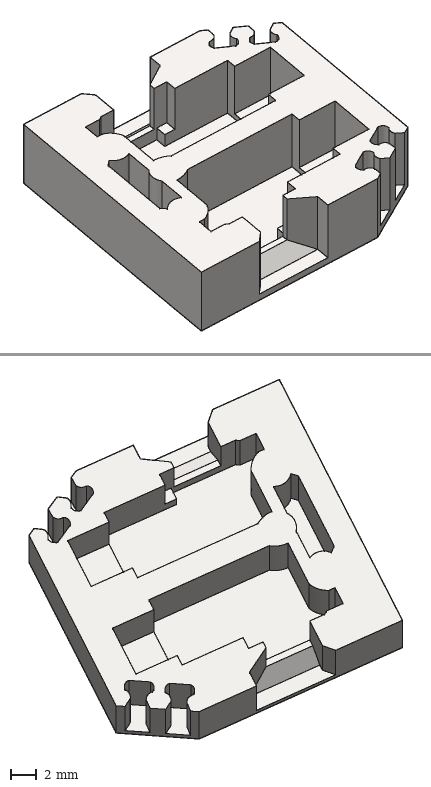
import cadquery as cq
import math

WIDTH = 22.0
LENGTH = 23.0
HEIGHT = 6.1
HALF_WIDTH = WIDTH / 2
CORNER_START_Y = 17.43
CORNER_ANGLE = math.radians(60)
CORNER_EDGE = (LENGTH - CORNER_START_Y) / math.sin(CORNER_ANGLE)
CORNER_TOP_X = HALF_WIDTH - CORNER_EDGE * math.cos(CORNER_ANGLE)

FLOOR_Z = 0.65
REAR_FLOOR_Z = 1.17
SILL_Z = 1.86
GROOVE_FLOOR_Z = 0.71

POCKET_INNER_X = 1.01
POCKET_OUTER_X = 6.97
POCKET_WIDE_X = 7.95
POCKET_BACK_Y = 16.95
POCKET_WIDE_Y = 11.73
POCKET_FRONT_Y = 5.22
RIB_FLARE_X = 1.45
RIB_FLARE_Y = 6.62
RIB_FLARE_RADIUS = 2.28
LEG_INNER_X = 6.32
LEG_OUTER_X = 7.77
LEG_FRONT_Y = 3.55
LEG_OUTER_BEND_Y = 4.95
LEG_ARC_START_X = 5.18
LEG_ARC_END_Y = 4.05
LEG_ARC_RADIUS = 4.2 / 2
REAR_POCKET_X = (1.9, 6.1)
REAR_POCKET_Y = 20.5
CORNER_BLOCK = 1.0

WINDOW_FRONT_Y = 6.49
WINDOW_BACK_Y = 12.51
WINDOW_INNER_Y = 10.49
WINDOW_SLOPE_X = (8.49, 9.75)
WINDOW_CHAMFER_X = 10.21
WINDOW_CHAMFER_Y = 5.73

FOOT_HEIGHT = 1.01
FOOT_FRONT_Y = 6.72
FOOT_INNER_Y = 10.42
FOOT_BACK_Y = 11.94
FOOT_TIP_X = 8.62
FOOT_ROOT_X = 9.65

SLOT_FRONT_Y = 2.12
SLOT_TIP_Y = 2.55
SLOT_WAIST_Y = 3.73
SLOT_BACK_Y = 4.23
SLOT_FRONT_X = 3.2
SLOT_TIP_X = 3.6
SLOT_WAIST_X = 3.1
SLOT_BACK_X = 3.27
SLOT_BULGE_X = 0.8
SLOT_BULGE = 0.28

GROOVE_POSITIONS = (1.65, 4.8)
GROOVE_MOUTH = 0.97
GROOVE_NECK = (0.62, 0.67)
GROOVE_FLARE = (0.71, 1.08)
GROOVE_LOBE_START = (1.05, 1.35)
GROOVE_LOBE = (1.13, 1.82)
GROOVE_LOBE_END = (0.83, 2.16)


def plan(z=0.0):
    return cq.Workplane("XY").workplane(offset=z)


def both_sides(solid):
    """Join a solid with its mirror image across the YZ plane."""
    return solid.union(solid.mirror("YZ"))


def mirrored(point):
    return (-point[0], point[1])


def make_body():
    return (
        plan()
        .polyline([
            (-HALF_WIDTH, 0),
            (HALF_WIDTH, 0),
            (HALF_WIDTH, CORNER_START_Y),
            (CORNER_TOP_X, LENGTH),
            (-CORNER_TOP_X, LENGTH),
            (-HALF_WIDTH, CORNER_START_Y),
        ])
        .close()
        .extrude(HEIGHT)
    )


def make_pocket():
    main = (
        plan(FLOOR_Z)
        .moveTo(POCKET_INNER_X, POCKET_BACK_Y)
        .lineTo(POCKET_OUTER_X, POCKET_BACK_Y)
        .lineTo(POCKET_OUTER_X, POCKET_WIDE_Y)
        .lineTo(POCKET_WIDE_X, POCKET_WIDE_Y)
        .lineTo(POCKET_WIDE_X, POCKET_FRONT_Y)
        .lineTo(LEG_OUTER_X, LEG_OUTER_BEND_Y)
        .lineTo(LEG_OUTER_X, LEG_FRONT_Y)
        .lineTo(LEG_INNER_X, LEG_FRONT_Y)
        .lineTo(LEG_INNER_X, LEG_ARC_END_Y)
        .radiusArc((LEG_ARC_START_X, POCKET_FRONT_Y), -LEG_ARC_RADIUS)
        .lineTo(RIB_FLARE_X, POCKET_FRONT_Y)
        .radiusArc((POCKET_INNER_X, RIB_FLARE_Y), -RIB_FLARE_RADIUS)
        .close()
        .extrude(HEIGHT - FLOOR_Z)
    )
    block = cq.Workplane("XY").box(CORNER_BLOCK, CORNER_BLOCK, SILL_Z - FLOOR_Z, centered=False)
    block = block.translate((POCKET_OUTER_X, POCKET_WIDE_Y - CORNER_BLOCK, FLOOR_Z))
    rear_x, rear_end_x = REAR_POCKET_X
    rear = cq.Workplane("XY").box(
        rear_end_x - rear_x, REAR_POCKET_Y - POCKET_BACK_Y, HEIGHT - REAR_FLOOR_Z, centered=False
    )
    return main.cut(block).union(rear.translate((rear_x, POCKET_BACK_Y, REAR_FLOOR_Z)))


def make_window():
    """Side opening: a plan outline crossed with a sloping sill profile."""
    slope_top_x, slope_foot_x = WINDOW_SLOPE_X
    outline = (
        plan()
        .polyline([
            (POCKET_WIDE_X, WINDOW_FRONT_Y),
            (WINDOW_CHAMFER_X, WINDOW_FRONT_Y),
            (HALF_WIDTH, WINDOW_CHAMFER_Y),
            (HALF_WIDTH, WINDOW_BACK_Y),
            (slope_foot_x, WINDOW_BACK_Y),
            (slope_top_x, WINDOW_INNER_Y),
            (POCKET_WIDE_X, WINDOW_INNER_Y),
        ])
        .close()
        .extrude(HEIGHT)
    )
    sill = (
        cq.Workplane("XZ")
        .polyline([
            (POCKET_WIDE_X, SILL_Z),
            (slope_top_x, SILL_Z),
            (slope_foot_x, FLOOR_Z),
            (HALF_WIDTH, FLOOR_Z),
            (HALF_WIDTH, HEIGHT),
            (POCKET_WIDE_X, HEIGHT),
        ])
        .close()
        .extrude(-LENGTH)
    )
    return outline.intersect(sill)


def make_foot():
    """Hook below the window, sloped along its outer side and its rear end."""
    outline = (
        plan(-FOOT_HEIGHT)
        .polyline([
            (POCKET_WIDE_X, FOOT_FRONT_Y),
            (FOOT_ROOT_X, FOOT_FRONT_Y),
            (FOOT_ROOT_X, FOOT_BACK_Y),
            (FOOT_TIP_X, FOOT_INNER_Y),
            (POCKET_WIDE_X, FOOT_INNER_Y),
        ])
        .close()
        .extrude(FOOT_HEIGHT)
    )
    profile = (
        cq.Workplane("XZ")
        .polyline([
            (POCKET_WIDE_X, 0),
            (FOOT_ROOT_X, 0),
            (FOOT_TIP_X, -FOOT_HEIGHT),
            (POCKET_WIDE_X, -FOOT_HEIGHT),
        ])
        .close()
        .extrude(-LENGTH)
    )
    return outline.intersect(profile)


def make_slot():
    return (
        plan(FLOOR_Z)
        .moveTo(-SLOT_FRONT_X, SLOT_FRONT_Y)
        .lineTo(SLOT_FRONT_X, SLOT_FRONT_Y)
        .lineTo(SLOT_TIP_X, SLOT_TIP_Y)
        .threePointArc((SLOT_WAIST_X, SLOT_WAIST_Y), (SLOT_BACK_X, SLOT_BACK_Y))
        .lineTo(SLOT_BULGE_X, SLOT_BACK_Y)
        .threePointArc((0, SLOT_BACK_Y - SLOT_BULGE), (-SLOT_BULGE_X, SLOT_BACK_Y))
        .lineTo(-SLOT_BACK_X, SLOT_BACK_Y)
        .threePointArc((-SLOT_WAIST_X, SLOT_WAIST_Y), (-SLOT_TIP_X, SLOT_TIP_Y))
        .close()
        .extrude(HEIGHT - FLOOR_Z)
    )


def make_groove(distance):
    """Necked groove, square to the sloped corner, centred at a distance along it."""
    face = cq.Plane(
        origin=(
            CORNER_TOP_X + distance * math.cos(CORNER_ANGLE),
            LENGTH - distance * math.sin(CORNER_ANGLE),
            GROOVE_FLOOR_Z,
        ),
        xDir=(-math.cos(CORNER_ANGLE), math.sin(CORNER_ANGLE), 0),
        normal=(0, 0, 1),
    )
    return (
        cq.Workplane(face)
        .moveTo(-GROOVE_MOUTH, 0)
        .lineTo(GROOVE_MOUTH, 0)
        .lineTo(*GROOVE_NECK)
        .threePointArc(GROOVE_FLARE, GROOVE_LOBE_START)
        .threePointArc(GROOVE_LOBE, GROOVE_LOBE_END)
        .lineTo(*mirrored(GROOVE_LOBE_END))
        .threePointArc(mirrored(GROOVE_LOBE), mirrored(GROOVE_LOBE_START))
        .threePointArc(mirrored(GROOVE_FLARE), mirrored(GROOVE_NECK))
        .close()
        .extrude(HEIGHT - GROOVE_FLOOR_Z)
    )


result = make_body().cut(make_slot())
result = result.cut(both_sides(make_pocket())).cut(both_sides(make_window()))
for groove_position in GROOVE_POSITIONS:
    result = result.cut(both_sides(make_groove(groove_position)))
result = result.union(both_sides(make_foot()))